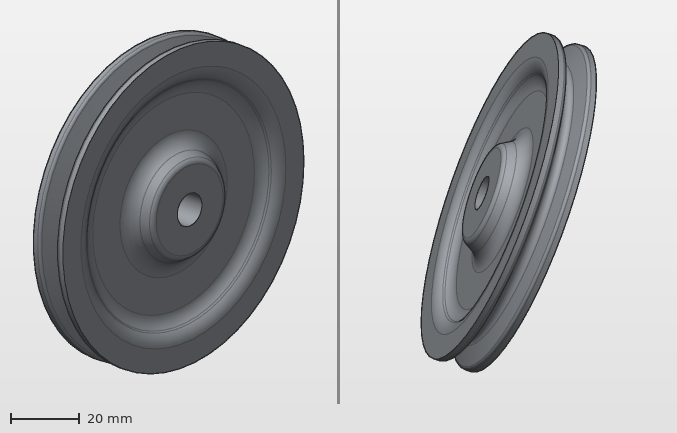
import cadquery as cq
import math

rim_radius = 50.0
rim_width = 12.0
hub_width = 17.0
web_thickness = 4.0
bore_diameter = 10.2

hub_face_radius = 15.0
hub_taper = 30.0
hub_edge_round = 2.0
hub_root_round = 6.0

rim_inner_radius = 40.0
rim_wall_slope = 45.0
rim_wall_round = 6.0

groove_floor_radius = 42.0
groove_half_angle = 15.0
groove_floor_round = 1.75
groove_edge_round = 1.0

rim_face_x = rim_width / 2
hub_face_x = hub_width / 2
web_face_x = web_thickness / 2
bore_radius = bore_diameter / 2

hub_root_radius = hub_face_radius + (hub_face_x - web_face_x) * math.tan(math.radians(hub_taper))
rim_root_radius = rim_inner_radius - (rim_face_x - web_face_x) * math.tan(math.radians(rim_wall_slope))
groove_angle = math.radians(groove_half_angle)
groove_apex_radius = groove_floor_radius + groove_floor_round * (1 - 1 / math.sin(groove_angle))
groove_mouth_x = (rim_radius - groove_apex_radius) * math.tan(groove_angle)


def half_section():
    """Corners (x, radius) with rounding radii on the +X side, from bore to groove."""
    return [
        (hub_face_x, bore_radius, 0),
        (hub_face_x, hub_face_radius, hub_edge_round),
        (web_face_x, hub_root_radius, hub_root_round),
        (web_face_x, rim_root_radius, rim_wall_round),
        (rim_face_x, rim_inner_radius, rim_wall_round),
        (rim_face_x, rim_radius, 0),
        (groove_mouth_x, rim_radius, groove_edge_round),
    ]


def round_corner(before, corner, after, radius):
    """Start, middle and end points of the arc that rounds a corner."""
    apex = cq.Vector(*corner)
    toward_before = (cq.Vector(*before) - apex).normalized()
    toward_after = (cq.Vector(*after) - apex).normalized()
    half_angle = toward_before.getAngle(toward_after) / 2
    setback = radius / math.tan(half_angle)
    middle_distance = radius / math.sin(half_angle) - radius
    bisector = (toward_before + toward_after).normalized()
    start = apex + toward_before * setback
    middle = apex + bisector * middle_distance
    end = apex + toward_after * setback
    return [(point.x, point.y) for point in (start, middle, end)]


def rounded_outline(corners):
    """Closed wire through the corners; the first corner must be a sharp one."""
    points = [(x, radius) for x, radius, _ in corners]
    outline = cq.Workplane("XY").moveTo(*points[0])
    for index in range(1, len(corners)):
        rounding = corners[index][2]
        if rounding == 0:
            outline = outline.lineTo(*points[index])
            continue
        following = points[(index + 1) % len(points)]
        start, middle, end = round_corner(points[index - 1], points[index], following, rounding)
        outline = outline.lineTo(*start).threePointArc(middle, end)
    return outline.close()


def wheel():
    """Revolve the full section, symmetric about the YZ plane, around the X axis."""
    right_side = half_section()
    groove_apex = (0, groove_apex_radius, groove_floor_round)
    left_side = [(-x, radius, rounding) for x, radius, rounding in reversed(right_side)]
    section = rounded_outline(right_side + [groove_apex] + left_side)
    return section.revolve(360, (0, 0, 0), (1, 0, 0))


result = wheel()